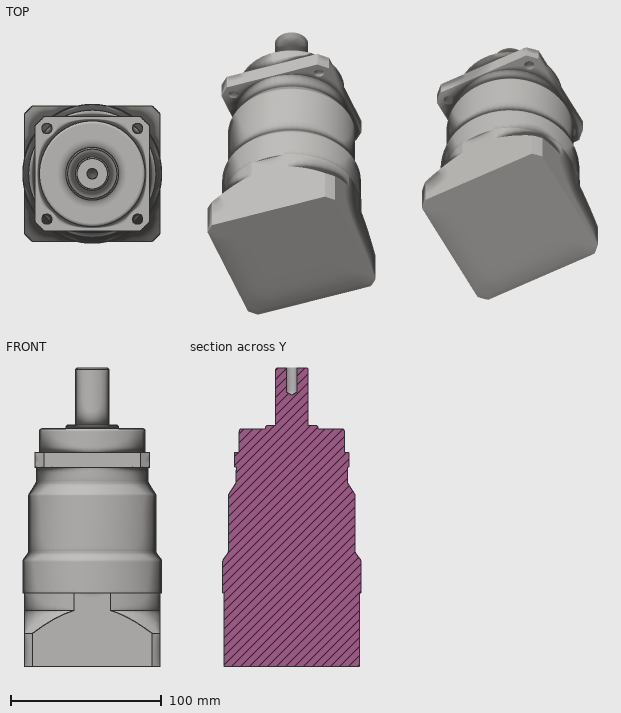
import cadquery as cq
import math

total_height = 198.0

base_width = 89.9
corner_diameter = 120.0
corner_height = 22.0
corner_cone_height = 15.2
base_neck_diameter = 93.0
base_neck_height = 11.5

ring_diameter = 92.0
ring_height = 21.8
lower_shoulder_height = 5.1
barrel_diameter = 84.3
barrel_height = 38.2
upper_shoulder_height = 8.1
neck_diameter = 74.0
neck_height = 10.0
shoulder_blend = 3.0
barrel_top_blend = 2.0

flange_width = 76.0
flange_thickness = 9.9
flange_corner_chamfer = 6.1
bolt_hole_diameter = 6.7
bolt_spacing = 60.2

pilot_diameter = 70.0
pilot_height = 15.8
pilot_round = 2.0
collar_diameter = 35.0
collar_height = 2.4
collar_chamfer = 1.2
shaft_diameter = 22.2
shaft_chamfer = 1.0

centre_hole_diameter = 7.0
centre_hole_depth = 15.8
drill_point_angle = 118.0

base_shoulder = corner_height + corner_cone_height
ring_bottom = base_shoulder + base_neck_height
ring_top = ring_bottom + ring_height
barrel_bottom = ring_top + lower_shoulder_height
barrel_top = barrel_bottom + barrel_height
neck_bottom = barrel_top + upper_shoulder_height
flange_bottom = neck_bottom + neck_height
flange_top = flange_bottom + flange_thickness
pilot_top = flange_top + pilot_height
collar_top = pilot_top + collar_height


def cylinder(diameter, bottom, top):
    """Cylinder on the shaft axis between two levels."""
    return cq.Workplane("XY").workplane(offset=bottom).circle(diameter / 2).extrude(top - bottom)


def turned(outline):
    """Solid of revolution about the shaft axis from (radius, level) points."""
    return cq.Workplane("XZ").polyline(outline).close().revolve(360, (0, 0, 0), (0, 1, 0))


def edge_at(diameter, level):
    """Selector for the circular edge of the given diameter at one level."""
    margin = 0.2
    return cq.selectors.BoxSelector(
        (-diameter, -diameter, level - margin),
        (diameter, diameter, level + margin),
    )


def square_base():
    """Square block whose corners are turned down to a cone and a round neck."""
    envelope = turned([
        (0, 0),
        (corner_diameter / 2, 0),
        (corner_diameter / 2, corner_height),
        (base_neck_diameter / 2, base_shoulder),
        (base_neck_diameter / 2, ring_bottom),
        (0, ring_bottom),
    ])
    block = cq.Workplane("XY").rect(base_width, base_width).extrude(ring_bottom)
    return envelope.intersect(block)


def housing():
    """Turned ring, barrel and neck with blended conical shoulders."""
    body = turned([
        (0, ring_bottom),
        (ring_diameter / 2, ring_bottom),
        (ring_diameter / 2, ring_top),
        (barrel_diameter / 2, barrel_bottom),
        (barrel_diameter / 2, barrel_top),
        (neck_diameter / 2, neck_bottom),
        (neck_diameter / 2, flange_bottom),
        (0, flange_bottom),
    ])
    wide_blends = (
        edge_at(ring_diameter, ring_top)
        + edge_at(barrel_diameter, barrel_bottom)
        + edge_at(neck_diameter, neck_bottom)
    )
    body = body.edges(wide_blends).fillet(shoulder_blend)
    return body.edges(edge_at(barrel_diameter, barrel_top)).fillet(barrel_top_blend)


def mounting_flange():
    """Square plate with chamfered corners and four through holes."""
    plate = (
        cq.Workplane("XY")
        .workplane(offset=flange_bottom)
        .rect(flange_width, flange_width)
        .extrude(flange_thickness)
        .edges("|Z")
        .chamfer(flange_corner_chamfer)
    )
    return (
        plate.faces(">Z")
        .workplane()
        .rect(bolt_spacing, bolt_spacing, forConstruction=True)
        .vertices()
        .hole(bolt_hole_diameter)
    )


def centre_hole():
    """Drilled hole in the shaft end, with a conical bottom."""
    radius = centre_hole_diameter / 2
    point_depth = radius / math.tan(math.radians(drill_point_angle / 2))
    hole_bottom = total_height - centre_hole_depth
    return turned([
        (0, total_height),
        (radius, total_height),
        (radius, hole_bottom),
        (0, hole_bottom - point_depth),
    ])


pilot = cylinder(pilot_diameter, flange_top, pilot_top).faces(">Z").edges().fillet(pilot_round)
collar = cylinder(collar_diameter, pilot_top, collar_top).faces(">Z").edges().chamfer(collar_chamfer)
shaft = cylinder(shaft_diameter, collar_top, total_height).faces(">Z").edges().chamfer(shaft_chamfer)

result = (
    square_base()
    .union(housing())
    .union(mounting_flange())
    .union(pilot)
    .union(collar)
    .union(shaft)
    .cut(centre_hole())
)